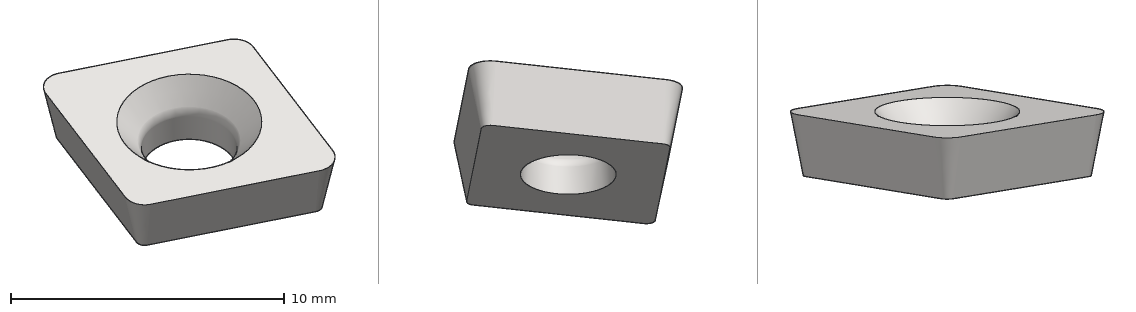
import cadquery as cq
import math

inscribed_diameter = 7.94
thickness = 2.38
corner_angle = 80.0
corner_radius = 0.8
relief_angle = 11.0

hole_diameter = 3.5
seat_diameter = 5.3
seat_half_angle = 40.0
seat_blend_radius = 0.55


def rhombic_body():
    """Rounded rhombus, full size at the top and tapering towards the base."""
    angle = math.radians(corner_angle)
    side = inscribed_diameter / math.sin(angle)
    shift = inscribed_diameter / math.tan(angle) / 2
    half_side = side / 2
    half_height = inscribed_diameter / 2

    corners = [
        (-half_side - shift, -half_height),
        (half_side - shift, -half_height),
        (half_side + shift, half_height),
        (-half_side + shift, half_height),
    ]
    outline = (
        cq.Workplane("XY")
        .polyline(corners)
        .close()
        .offset2D(-corner_radius)
        .offset2D(corner_radius, "arc")
    )
    return outline.extrude(-thickness, taper=relief_angle)


def screw_hole():
    """Through hole with a cone blended tangentially into its bore."""
    angle = math.radians(seat_half_angle)
    hole_radius = hole_diameter / 2
    seat_radius = seat_diameter / 2

    def blend_point(turn):
        """Point on the blend, turned from the bore wall towards the cone."""
        radius = hole_radius + seat_blend_radius * (1 - math.cos(turn))
        return radius, blend_start + seat_blend_radius * math.sin(turn)

    cone_depth = (seat_radius - hole_radius) / math.tan(angle)
    blend_start = -cone_depth - seat_blend_radius * math.tan(angle / 2)

    profile = (
        cq.Workplane("XZ")
        .moveTo(0, -thickness)
        .lineTo(hole_radius, -thickness)
        .lineTo(hole_radius, blend_start)
        .threePointArc(blend_point(angle / 2), blend_point(angle))
        .lineTo(seat_radius, 0)
        .lineTo(0, 0)
        .close()
    )
    return profile.revolve(360, (0, 0, 0), (0, 1, 0))


result = rhombic_body().cut(screw_hole())